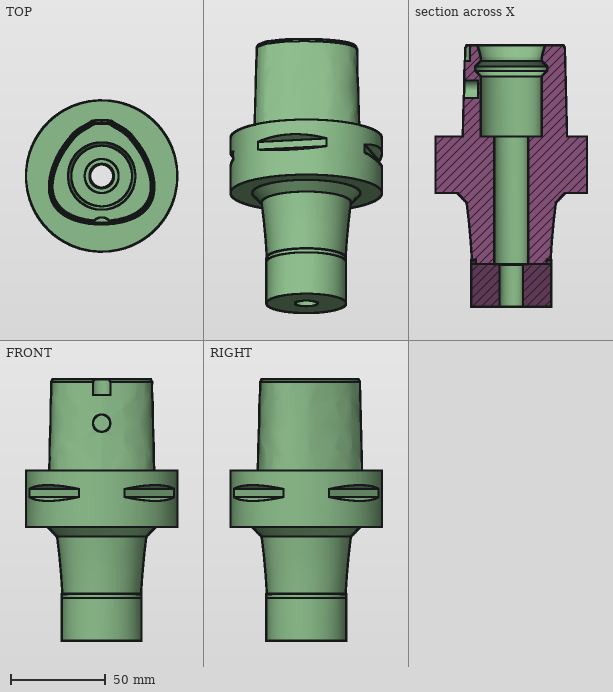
import cadquery as cq
import math

TOTAL_HEIGHT = 138
FLANGE_TOP = 90.0
FLANGE_BOTTOM = 60.0
NECK_TOP = 54.9
NECK_BOTTOM = 24.8
RING_TOP = 24.5
RING_BOTTOM = 22.5

FLANGE_RADIUS = 40
SLOT_COUNT = 4
SLOT_FIRST_ANGLE = 45
SLOT_HEIGHT = 78.0
SLOT_FLOOR_DISTANCE = 35.5
SLOT_FLOOR_WIDTH = 4.1
SLOT_SIDE_ANGLE = 25

SHANK_BASE_RADIUS = 27.6
SHANK_LOBE = 2.0
SHANK_TAPER = 1 / 40
SHANK_POINTS = 12
CHAMFER_HEIGHT = 1.5
CHAMFER_INSET = 0.8

CONE_TOP_RADIUS = 28.5
NECK_TOP_RADIUS = 23.6
NECK_MIDDLE_RADIUS = 22.0
NECK_BOTTOM_RADIUS = 20.8

MOUTH_RADIUS = 17.8
BORE_RADIUS = 16.0
MOUTH_DEPTH = 6.6
GROOVE_RADIUS = 18.9
GROOVE_START_DEPTH = 8.3
GROOVE_END_DEPTH = 16.4
GROOVE_FLANK = GROOVE_RADIUS - BORE_RADIUS
THROUGH_RADIUS = 9.0

NOTCH_RADIUS = 5.4
NOTCH_INNER_Y = -21.8
NOTCH_DEPTH = 8.3
SIDE_HOLE_RADIUS = 4.5
SIDE_HOLE_HEIGHT = 114.8
SIDE_HOLE_END_Y = -17.7

SPIGOT_RADIUS = 18.6
SLEEVE_RADIUS = 21.1
SLEEVE_BORE_RADIUS = 6.1
SLEEVE_CHAMFER = 0.4
SLEEVE_CHAMFER_ANGLE = 90


def shank_outline(mean_radius, height):
    """Closed three-lobed curve with one lobe pointing to +Y, made of two mirrored halves."""
    points = []
    for index in range(SHANK_POINTS + 1):
        angle = math.pi * index / SHANK_POINTS
        x = mean_radius * math.sin(angle) + SHANK_LOBE * math.sin(2 * angle)
        y = SHANK_LOBE * math.cos(2 * angle) - mean_radius * math.cos(angle)
        points.append(cq.Vector(x, y, height))
    right_half = cq.Edge.makeSpline(points, tangents=[cq.Vector(1, 0, 0), cq.Vector(-1, 0, 0)])
    left_half = right_half.mirror("YZ")
    return cq.Wire.assembleEdges([right_half, left_half])


def make_shank():
    """Tapered shank with a steeper chamfer round its top end."""
    chamfer_start = TOTAL_HEIGHT - CHAMFER_HEIGHT
    chamfer_radius = SHANK_BASE_RADIUS - SHANK_TAPER * (chamfer_start - FLANGE_TOP)
    base = shank_outline(SHANK_BASE_RADIUS, FLANGE_TOP)
    shoulder = shank_outline(chamfer_radius, chamfer_start)
    tip = shank_outline(chamfer_radius - CHAMFER_INSET, TOTAL_HEIGHT)
    taper = cq.Solid.makeLoft([base, shoulder], True)
    chamfer = cq.Solid.makeLoft([shoulder, tip], True)
    return cq.Workplane(taper).union(cq.Workplane(chamfer))


def make_flange_and_neck():
    """Flange, cone, curved neck and the spigot that carries the ring."""
    neck_middle = (NECK_TOP + NECK_BOTTOM) / 2
    return (
        cq.Workplane("XZ")
        .moveTo(0, FLANGE_TOP)
        .lineTo(FLANGE_RADIUS, FLANGE_TOP)
        .lineTo(FLANGE_RADIUS, FLANGE_BOTTOM)
        .lineTo(CONE_TOP_RADIUS, FLANGE_BOTTOM)
        .lineTo(NECK_TOP_RADIUS, NECK_TOP)
        .threePointArc((NECK_MIDDLE_RADIUS, neck_middle), (NECK_BOTTOM_RADIUS, NECK_BOTTOM))
        .lineTo(SPIGOT_RADIUS, NECK_BOTTOM)
        .lineTo(SPIGOT_RADIUS, RING_BOTTOM)
        .lineTo(0, RING_BOTTOM)
        .close()
        .revolve(360, (0, 0), (0, 1))
    )


def make_bore():
    """Hollow of the holder, from its top end down to the sleeve."""
    groove_start = TOTAL_HEIGHT - GROOVE_START_DEPTH
    groove_end = TOTAL_HEIGHT - GROOVE_END_DEPTH
    return (
        cq.Workplane("XZ")
        .moveTo(0, TOTAL_HEIGHT)
        .lineTo(MOUTH_RADIUS, TOTAL_HEIGHT)
        .lineTo(BORE_RADIUS, TOTAL_HEIGHT - MOUTH_DEPTH)
        .lineTo(BORE_RADIUS, groove_start)
        .lineTo(GROOVE_RADIUS, groove_start - GROOVE_FLANK)
        .lineTo(GROOVE_RADIUS, groove_end + GROOVE_FLANK)
        .lineTo(BORE_RADIUS, groove_end)
        .lineTo(BORE_RADIUS, FLANGE_TOP)
        .lineTo(THROUGH_RADIUS, FLANGE_TOP)
        .lineTo(THROUGH_RADIUS, RING_BOTTOM)
        .lineTo(0, RING_BOTTOM)
        .close()
        .revolve(360, (0, 0), (0, 1))
    )


def make_gripper_slot(angle):
    """Straight slot across the flange edge, widening outward."""
    depth = FLANGE_RADIUS - SLOT_FLOOR_DISTANCE
    floor_half = SLOT_FLOOR_WIDTH / 2
    mouth_half = floor_half + depth * math.tan(math.radians(SLOT_SIDE_ANGLE))
    return (
        cq.Workplane("XZ")
        .polyline([
            (SLOT_FLOOR_DISTANCE, SLOT_HEIGHT - floor_half),
            (FLANGE_RADIUS, SLOT_HEIGHT - mouth_half),
            (FLANGE_RADIUS, SLOT_HEIGHT + mouth_half),
            (SLOT_FLOOR_DISTANCE, SLOT_HEIGHT + floor_half),
        ])
        .close()
        .extrude(FLANGE_RADIUS, both=True)
        .rotate((0, 0, 0), (0, 0, 1), angle)
    )


def make_notch():
    """Shallow curved key notch at the top of the shank."""
    return (
        cq.Workplane("XY", origin=(0, NOTCH_INNER_Y - NOTCH_RADIUS, TOTAL_HEIGHT))
        .circle(NOTCH_RADIUS)
        .extrude(-NOTCH_DEPTH)
    )


def make_side_hole():
    """Blind hole running in from the -Y side."""
    return (
        cq.Workplane("XZ", origin=(0, SIDE_HOLE_END_Y, SIDE_HOLE_HEIGHT))
        .circle(SIDE_HOLE_RADIUS)
        .extrude(SHANK_BASE_RADIUS + SIDE_HOLE_END_Y)
    )


def make_holder():
    holder = make_flange_and_neck().union(make_shank()).cut(make_bore())
    for index in range(SLOT_COUNT):
        holder = holder.cut(make_gripper_slot(SLOT_FIRST_ANGLE + index * 360 / SLOT_COUNT))
    return holder.cut(make_notch()).cut(make_side_hole())


def make_ring():
    """Thin ring around the spigot, with a narrow gap below the neck."""
    return (
        cq.Workplane("XY", origin=(0, 0, RING_BOTTOM))
        .circle(SLEEVE_RADIUS)
        .circle(SPIGOT_RADIUS)
        .extrude(RING_TOP - RING_BOTTOM)
    )


def make_sleeve():
    """Lower sleeve with a chamfered bore."""
    return (
        cq.Workplane("XY")
        .circle(SLEEVE_RADIUS)
        .extrude(RING_BOTTOM)
        .faces(">Z")
        .workplane()
        .cskHole(2 * SLEEVE_BORE_RADIUS, 2 * (SLEEVE_BORE_RADIUS + SLEEVE_CHAMFER), SLEEVE_CHAMFER_ANGLE)
    )


holder = make_holder()
ring = make_ring()
sleeve = make_sleeve()
result = cq.Compound.makeCompound([holder.val(), ring.val(), sleeve.val()])